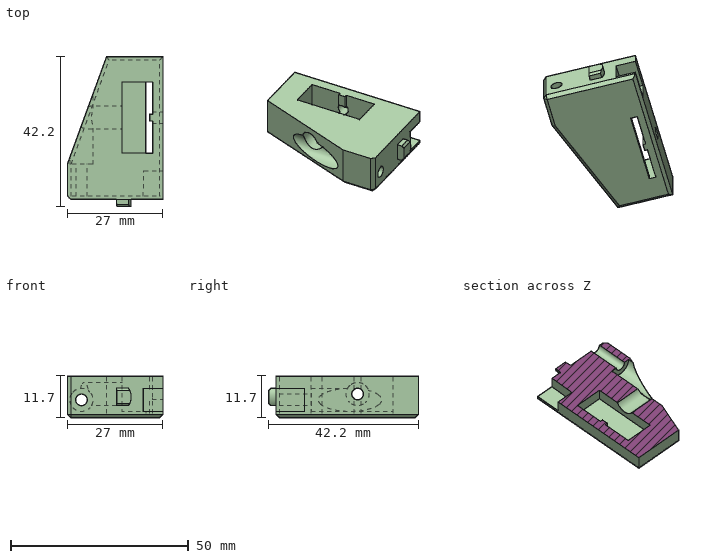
import cadquery as cq

body_width = 27.0
body_length = 40.2
body_height = 11.7
back_left_x = 11.05
slant_start_y = 9.9
edge_chamfer = 1.0

screw_diameter = 3.2
head_diameter = 6.5
front_screw_x = 4.0
front_screw_z = 5.05
front_head_seat_y = 10.0

pocket_left_x = 15.4
pocket_right_x = 24.0
pocket_length = 20.0
pocket_center_y = 23.0
pocket_floor_z = 1.8
window_left_x = 22.1
rib_width = 2.0
rib_depth = 0.8
side_screw_z = 6.7

socket_left_x = 21.35
socket_depth = 8.0
socket_bottom_z = 1.8
socket_top_z = 8.2
socket_taper = 0.15

tab_left_x = 13.8
tab_width = 4.2
tab_flat_width = 3.4
tab_bottom_z = 3.4
tab_height = 4.95
tab_length = 2.0
tab_chamfer = 0.6
tab_side_radius = 13.0


def box(x_range, y_range, z_range):
    """Axis-aligned box between three coordinate ranges."""
    size = [end - start for start, end in (x_range, y_range, z_range)]
    corner = (x_range[0], y_range[0], z_range[0])
    return cq.Workplane("XY").box(*size, centered=False).translate(corner)


def rod(diameter, start, direction, length):
    """Solid cylinder from a start point along a direction."""
    return cq.Workplane(cq.Solid.makeCylinder(diameter / 2, length, cq.Vector(*start), cq.Vector(*direction)))


def make_body():
    outline = [
        (0, 0),
        (body_width, 0),
        (body_width, body_length),
        (back_left_x, body_length),
        (0, slant_start_y),
    ]
    block = cq.Workplane("XY").polyline(outline).close().extrude(body_height)
    front_left_edge = "|Z and <X and <Y"
    return block.edges(f"<Z or ({front_left_edge})").chamfer(edge_chamfer)


def make_pocket():
    y_range = (pocket_center_y - pocket_length / 2, pocket_center_y + pocket_length / 2)
    pocket = box((pocket_left_x, pocket_right_x), y_range, (pocket_floor_z, body_height))
    window = box((window_left_x, pocket_right_x), y_range, (0, pocket_floor_z))
    rib = box(
        (pocket_right_x - rib_depth, pocket_right_x),
        (pocket_center_y - rib_width / 2, pocket_center_y + rib_width / 2),
        (0, body_height),
    )
    return pocket.union(window).cut(rib)


def make_front_screw_hole():
    hole = rod(screw_diameter, (front_screw_x, 0, front_screw_z), (0, 1, 0), body_length)
    head_start = (front_screw_x, front_head_seat_y, front_screw_z)
    head = rod(head_diameter, head_start, (0, 1, 0), body_length - front_head_seat_y)
    return hole.union(head)


def make_side_screw_hole():
    start = (0, pocket_center_y, side_screw_z)
    hole = rod(screw_diameter, start, (1, 0, 0), body_width)
    head = rod(head_diameter, start, (1, 0, 0), pocket_left_x)
    return hole.union(head)


def make_socket():
    outline = [
        (socket_left_x, 0),
        (body_width, 0),
        (body_width, socket_depth),
        (socket_left_x + socket_taper, socket_depth),
    ]
    floor = cq.Workplane("XY").workplane(offset=socket_bottom_z)
    return floor.polyline(outline).close().extrude(socket_top_z - socket_bottom_z)


def make_tab():
    flat_end_x = tab_left_x + tab_flat_width
    top_z = tab_bottom_z + tab_height
    bulge_point = (tab_left_x + tab_width, tab_bottom_z + tab_height / 2)
    bar = (
        cq.Workplane("XZ")
        .moveTo(tab_left_x, tab_bottom_z)
        .lineTo(flat_end_x, tab_bottom_z)
        .threePointArc(bulge_point, (flat_end_x, top_z))
        .lineTo(tab_left_x, top_z)
        .close()
        .extrude(tab_length)
    )

    chamfer_start_y = tab_chamfer - tab_length
    side_profile = [
        (0, tab_bottom_z),
        (0, top_z),
        (chamfer_start_y, top_z),
        (-tab_length, top_z - tab_chamfer),
        (-tab_length, tab_bottom_z + tab_chamfer),
        (chamfer_start_y, tab_bottom_z),
    ]
    envelope = cq.Workplane("YZ").polyline(side_profile).close().extrude(body_width)

    curve_center = (tab_left_x + tab_side_radius, 0, 0)
    curved_side = rod(2 * tab_side_radius, curve_center, (0, 0, 1), body_height)
    return bar.intersect(envelope).intersect(curved_side)


result = (
    make_body()
    .cut(make_pocket())
    .cut(make_front_screw_hole())
    .cut(make_side_screw_hole())
    .cut(make_socket())
    .union(make_tab())
)